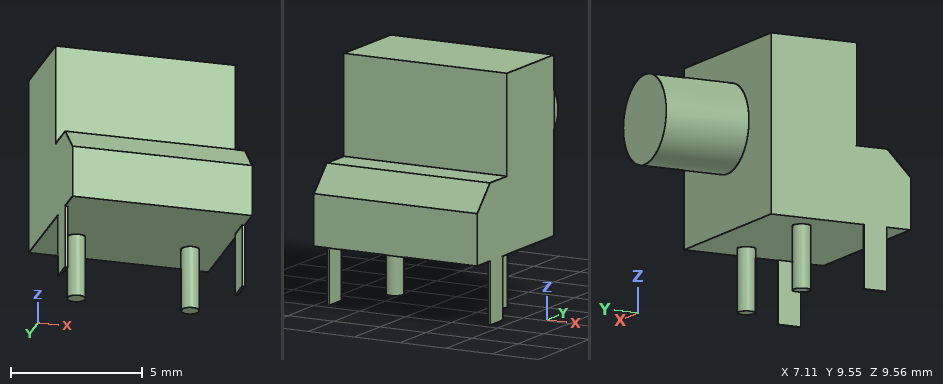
import cadquery as cq

body_width = 7.11
body_depth = 6.0
body_height = 7.06
upper_depth = 3.68
step_height = 3.05
chamfer_size = 1.0

barrel_diameter = 3.51
barrel_length = 3.55
barrel_axis_height = 4.01

lead_length = 2.5
pin_diameter = 0.7
pin_spacing = 4.5
pin_setback = 2.0
blade_width = 0.97
blade_thickness = 0.1
blade_setback = 4.49

embed = 0.5

front_y = -body_depth


def make_body():
    """Stepped block with a chamfered edge along the front of the step."""
    profile = [
        (0, 0),
        (0, body_height),
        (-upper_depth, body_height),
        (-upper_depth, step_height),
        (front_y + chamfer_size, step_height),
        (front_y, step_height - chamfer_size),
        (front_y, 0),
    ]
    return cq.Workplane("YZ").polyline(profile).close().extrude(body_width / 2, both=True)


def make_barrel():
    """Round barrel pointing toward +Y from the back face."""
    return (
        cq.Workplane("XZ", origin=(0, barrel_length, barrel_axis_height))
        .circle(barrel_diameter / 2)
        .extrude(barrel_length + embed)
    )


def make_pin(side):
    """Round pin; side is -1 or +1 along X."""
    return (
        cq.Workplane("XY", origin=(side * pin_spacing / 2, -pin_setback, -lead_length))
        .circle(pin_diameter / 2)
        .extrude(lead_length + embed)
    )


def make_blade(side):
    """Thin flat lead, flush with the side face of the body; side is -1 or +1 along X."""
    blade_x = side * (body_width - blade_thickness) / 2
    return (
        cq.Workplane("XY", origin=(blade_x, -blade_setback, -lead_length))
        .rect(blade_thickness, blade_width)
        .extrude(lead_length + embed)
    )


result = make_body().union(make_barrel())
for side in (-1, 1):
    result = result.union(make_pin(side)).union(make_blade(side))